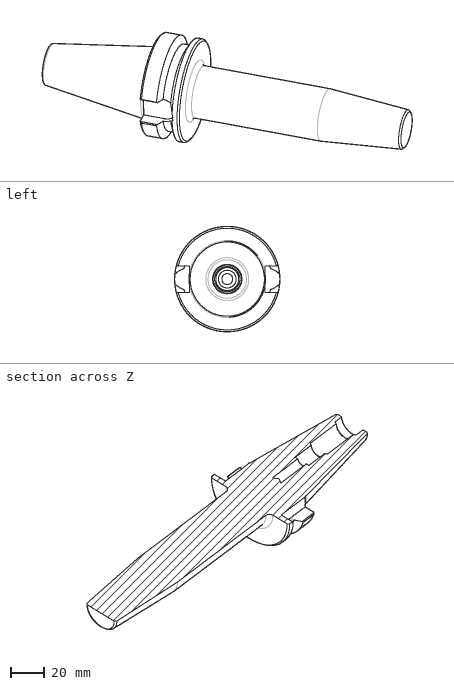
import cadquery as cq
import math

total_length = 225.5

taper_length = 65.4
gauge_diameter = 44.5
gauge_fillet = 0.7
taper_ratio = 7 / 24
small_end_radius = (gauge_diameter - taper_length * taper_ratio) / 2
small_end_rounding = 1.4

flange_start = 67.5
flange_end = 92.5
flange_diameter = 63.0
flange_chamfer = 1.1
groove_land_start = 78.0
groove_floor_start = 80.5
groove_floor_end = 85.5
groove_land_end = 88.1
groove_floor_diameter = 53.2

shank_diameter = 32.0
shank_fillet = 3.0
nose_start = 174.5
nose_end_diameter = 24.1
nose_chamfer = 1.1

slot_width = 15.8
slot_floor_offset = 22.5
slot_tip = 88.5
slot_edge_chamfer = 0.7

mouth_diameter = 17.5
counterbore_diameter = 17.0
counterbore_depth = 6.3
thread_chamfer = 0.7
thread_diameter = 13.7
thread_depth = 30.0
passage_diameter = 10.5
passage_depth = 45.0
pilot_diameter = 6.5
pilot_depth = 67.6
drill_half_angle = math.radians(59)


def turned_body():
    gauge_radius = gauge_diameter / 2
    flange_radius = flange_diameter / 2
    groove_radius = groove_floor_diameter / 2
    shank_radius = shank_diameter / 2
    nose_radius = nose_end_diameter / 2

    slope = math.atan(taper_ratio / 2)
    center_x = small_end_rounding
    center_r = (
        small_end_radius
        + center_x * math.tan(slope)
        - small_end_rounding / math.cos(slope)
    )
    tangent_angle = math.pi / 2 + slope
    middle_angle = (tangent_angle + math.pi) / 2

    def rounding_point(angle):
        return (
            center_x + small_end_rounding * math.cos(angle),
            center_r + small_end_rounding * math.sin(angle),
        )

    gauge_middle = gauge_fillet * (1 - math.sqrt(0.5))
    fillet_middle = shank_fillet * (1 - math.sqrt(0.5))
    return (
        cq.Workplane("XY")
        .moveTo(0, 0)
        .lineTo(0, center_r)
        .threePointArc(rounding_point(middle_angle), rounding_point(tangent_angle))
        .lineTo(taper_length, gauge_radius)
        .lineTo(flange_start - gauge_fillet, gauge_radius)
        .threePointArc(
            (flange_start - gauge_middle, gauge_radius + gauge_middle),
            (flange_start, gauge_radius + gauge_fillet),
        )
        .lineTo(flange_start, flange_radius - flange_chamfer)
        .lineTo(flange_start + flange_chamfer, flange_radius)
        .lineTo(groove_land_start, flange_radius)
        .lineTo(groove_floor_start, groove_radius)
        .lineTo(groove_floor_end, groove_radius)
        .lineTo(groove_land_end, flange_radius)
        .lineTo(flange_end - flange_chamfer, flange_radius)
        .lineTo(flange_end, flange_radius - flange_chamfer)
        .lineTo(flange_end, shank_radius + shank_fillet)
        .threePointArc(
            (flange_end + fillet_middle, shank_radius + fillet_middle),
            (flange_end + shank_fillet, shank_radius),
        )
        .lineTo(nose_start, shank_radius)
        .lineTo(total_length - nose_chamfer, nose_radius)
        .lineTo(total_length, nose_radius - nose_chamfer)
        .lineTo(total_length, 0)
        .close()
        .revolve(360, (0, 0, 0), (1, 0, 0))
    )


def drive_slot(side):
    """Round-ended slot cutter; side is -1 for -Y and +1 for +Y."""
    slot_radius = slot_width / 2
    arc_center_x = slot_tip - slot_radius
    depth = flange_diameter / 2
    straight = (
        cq.Workplane("XY")
        .box(arc_center_x - flange_start, depth, slot_width, centered=(False, False, True))
        .translate((flange_start, 0, 0))
    )
    round_end = (
        cq.Workplane("XZ", origin=(arc_center_x, 0, 0))
        .circle(slot_radius)
        .extrude(-depth)
    )
    cutter = straight.union(round_end).translate((0, slot_floor_offset, 0))
    return cutter if side > 0 else cutter.mirror("XZ")


def chamfer_slot_edges(body):
    """Break the long edges where the slot walls meet the flange rim ahead of the groove."""
    half_width = slot_width / 2
    rim_y = math.sqrt((flange_diameter / 2) ** 2 - half_width**2)
    middle_x = (flange_start + flange_chamfer + groove_land_start) / 2
    rim_edges = [
        body.edges(cq.NearestToPointSelector((middle_x, y, z))).val()
        for y in (-rim_y, rim_y)
        for z in (-half_width, half_width)
    ]
    return body.newObject(rim_edges).chamfer(slot_edge_chamfer)


def stepped_bore():
    mouth_radius = mouth_diameter / 2
    counterbore_radius = counterbore_diameter / 2
    thread_radius = thread_diameter / 2
    passage_radius = passage_diameter / 2
    pilot_radius = pilot_diameter / 2
    thread_cone = (thread_radius - passage_radius) / math.tan(drill_half_angle)
    tip_cone = pilot_radius / math.tan(drill_half_angle)
    return (
        cq.Workplane("XY")
        .moveTo(0, 0)
        .lineTo(0, mouth_radius)
        .lineTo(mouth_radius - counterbore_radius, counterbore_radius)
        .lineTo(counterbore_depth, counterbore_radius)
        .lineTo(counterbore_depth, thread_radius + thread_chamfer)
        .lineTo(counterbore_depth + thread_chamfer, thread_radius)
        .lineTo(thread_depth, thread_radius)
        .lineTo(thread_depth + thread_cone, passage_radius)
        .lineTo(passage_depth, passage_radius)
        .lineTo(passage_depth, pilot_radius)
        .lineTo(pilot_depth, pilot_radius)
        .lineTo(pilot_depth - tip_cone, 0)
        .close()
        .revolve(360, (0, 0, 0), (1, 0, 0))
    )


result = turned_body().cut(stepped_bore())
for slot_side in (-1, 1):
    result = result.cut(drive_slot(slot_side))
result = chamfer_slot_edges(result)